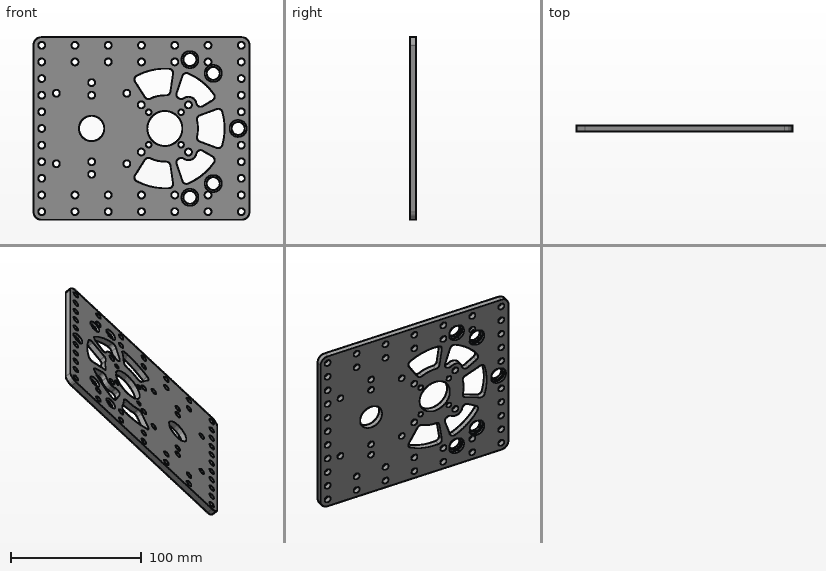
import cadquery as cq
import math

plate_length = 165.1
plate_thickness = 4.8

mount_dia = 5.1
grid_columns = 7
grid_rows = 11
column_pitch = plate_length / (grid_columns - 1 + 0.5)
row_pitch = column_pitch / 2
edge_margin = column_pitch / 4
plate_height = (grid_rows - 1) * row_pitch + 2 * edge_margin
corner_radius = edge_margin
full_rows = (0, 1, grid_rows - 2, grid_rows - 1)

left_x = -1.5 * column_pitch
left_dia = 19.2
left_near_offset = 2 * row_pitch
left_far_offset = 35.0
left_square_half = 26.9

hub_x = 17.8
hub_dia = 26.5
hub_small_dia = 4.1
hub_small_half = 12.4
hub_large_half = 18.0

window_inner_radius = 25.5
window_outer_radius = 45.5
window_half_angle = 20.4
window_pitch_angle = 51
window_fillet = 3.1
boss_radius = 6.3

ring_radius = 56.0
ring_angles = (-70, -48.7, 0, 48.7, 70)
ring_bore_dia = 9.7
ring_counterbore_dia = 13.0
ring_counterbore_depth = plate_thickness / 2


def front_plane():
    """Sketch plane on the front face; local x is X, local y is Z, normal is -Y."""
    return cq.Workplane("XZ", origin=(0, -plate_thickness / 2, 0))


def cutter(points, diameter, depth=plate_thickness):
    """Cylinders sunk from the front face to the given depth."""
    return front_plane().pushPoints(points).circle(diameter / 2).extrude(-depth)


def square_points(center_x, half_side):
    """Corners of a square centred at half height."""
    return [(center_x + sx * half_side, sz * half_side) for sx in (-1, 1) for sz in (-1, 1)]


def hub_point(radius, angle):
    """Point at a polar position about the hub centre."""
    turn = math.radians(angle)
    return (hub_x + radius * math.cos(turn), radius * math.sin(turn))


def mount_points():
    """Full border of the grid plus one inner row at the top and at the bottom."""
    points = []
    for row in range(grid_rows):
        z = (row - (grid_rows - 1) / 2) * row_pitch
        columns = range(grid_columns) if row in full_rows else (0, grid_columns - 1)
        for column in columns:
            points.append(((column - (grid_columns - 1) / 2) * column_pitch, z))
    return points


def left_points():
    """A vertical line of four holes and a square of four, both about the left-hand opening."""
    line = [(left_x, side * offset) for side in (-1, 1) for offset in (left_near_offset, left_far_offset)]
    return line + square_points(left_x, left_square_half)


def window_cutter(mid_angle):
    """Ring sector that leaves the bosses standing, with every corner rounded."""
    inner = window_inner_radius + window_fillet
    outer = window_outer_radius - window_fillet
    inner_half = window_half_angle - math.degrees(math.asin(window_fillet / inner))
    outer_half = window_half_angle - math.degrees(math.asin(window_fillet / outer))
    core = (
        front_plane()
        .moveTo(*hub_point(inner, mid_angle - inner_half))
        .lineTo(*hub_point(outer, mid_angle - outer_half))
        .threePointArc(hub_point(outer, mid_angle), hub_point(outer, mid_angle + outer_half))
        .lineTo(*hub_point(inner, mid_angle + inner_half))
        .threePointArc(hub_point(inner, mid_angle), hub_point(inner, mid_angle - inner_half))
        .close()
        .extrude(-plate_thickness)
    )
    boss_points = [(hub_x + hub_large_half, side * hub_large_half) for side in (-1, 1)]
    bosses = cutter(boss_points, 2 * (boss_radius + window_fillet))
    outline = core.cut(bosses).faces("<Y").wires().val()
    return front_plane().add(outline).toPending().offset2D(window_fillet).extrude(-plate_thickness)


plate = (
    front_plane()
    .rect(plate_length, plate_height)
    .extrude(-plate_thickness)
    .edges("|Y").fillet(corner_radius)
)

plate = plate.cut(cutter(mount_points(), mount_dia))
plate = plate.cut(cutter(left_points(), mount_dia))
plate = plate.cut(cutter([(left_x, 0)], left_dia))
plate = plate.cut(cutter([(hub_x, 0)], hub_dia))
plate = plate.cut(cutter(square_points(hub_x, hub_small_half), hub_small_dia))
plate = plate.cut(cutter(square_points(hub_x, hub_large_half), mount_dia))

ring_points = [hub_point(ring_radius, angle) for angle in ring_angles]
plate = plate.cut(cutter(ring_points, ring_bore_dia))
plate = plate.cut(cutter(ring_points, ring_counterbore_dia, ring_counterbore_depth))

for step in range(-2, 3):
    plate = plate.cut(window_cutter(step * window_pitch_angle))

result = plate